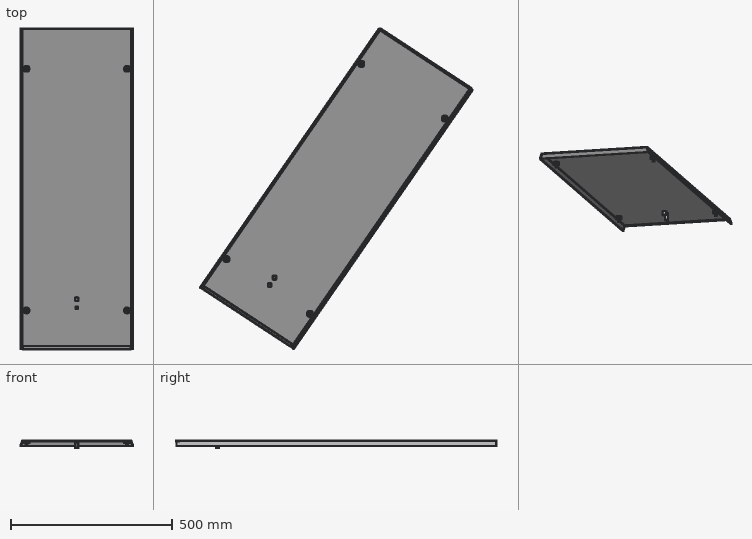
import cadquery as cq
import math

total_width = 349.88
total_length = 996.05
total_height = 22.5
sheet = 1.5
flange_height = 16.5
flange_angle = math.radians(20.0)

flange_slope = math.tan(flange_angle)
wall_width = sheet / math.cos(flange_angle)
bottom_half_width = total_width / 2
top_half_width = bottom_half_width - flange_height * flange_slope
rear_y = total_length / 2
nose_y = -rear_y

nose_radius = sheet
hem_length = 8.0
hem_half_width = top_half_width - sheet
front_y = nose_y + nose_radius

stud_neck_diameter = 8.0
stud_diameter = 10.0
stud_shoulder_z = -6.0
stud_y = front_y + 127.5
short_stud_diameter = 12.0
short_stud_end_z = -12.0
stud_spacing = 26.5
short_stud_y = stud_y + stud_spacing

screw_spacing_x = 312.0
screw_spacing_y = 750.0
front_screw_y = front_y + 119.0
dimple_opening = 15.0
dimple_wall = 1.25
dimple_depth = 6.0
head_diameter = 13.0
head_crown_diameter = 6.0
head_height = 2.5
socket_size = 4.0
socket_depth = 2.0
shank_diameter = 6.0
shank_end_z = -16.0

screw_positions = [
    (side * screw_spacing_x / 2, front_screw_y + row * screw_spacing_y)
    for side in (-1, 1)
    for row in (0, 1)
]


def half_width_at(z):
    """Half width of the panel's outside at height z, on the sloped side flanges."""
    return top_half_width - z * flange_slope


def trapezoid_prism(inset, top_z, bottom_z, y_start, y_end):
    """Prism along Y, its sides parallel to the side flanges and moved in by inset along X."""
    top_half = half_width_at(top_z) - inset
    bottom_half = half_width_at(bottom_z) - inset
    return (
        cq.Workplane("XZ", origin=(0, y_end, 0))
        .moveTo(-top_half, top_z)
        .lineTo(top_half, top_z)
        .lineTo(bottom_half, bottom_z)
        .lineTo(-bottom_half, bottom_z)
        .close()
        .extrude(y_end - y_start)
    )


def cylinder(diameter, top_z, bottom_z, x, y):
    return cq.Workplane("XY", origin=(x, y, bottom_z)).circle(diameter / 2).extrude(top_z - bottom_z)


def make_tray():
    """Top sheet with sloped side flanges and an upright rear flange, open at the front."""
    outside = trapezoid_prism(0, 0, -flange_height, front_y, rear_y)
    inside = trapezoid_prism(wall_width, -sheet, -flange_height, front_y, rear_y - sheet)
    return outside.cut(inside)


def make_hem():
    """Nose and folded-back strip along the front edge, two sheets thick."""
    hem_rear_y = front_y + hem_length
    return (
        cq.Workplane("YZ", origin=(-hem_half_width, 0, 0))
        .moveTo(front_y, 0)
        .threePointArc((nose_y, -nose_radius), (front_y, -2 * nose_radius))
        .lineTo(hem_rear_y, -2 * sheet)
        .lineTo(hem_rear_y, -sheet)
        .lineTo(front_y, -sheet)
        .close()
        .extrude(2 * hem_half_width)
    )


def make_studs():
    """Long shouldered stud and a short plain stud behind it."""
    neck = cylinder(stud_neck_diameter, -sheet, stud_shoulder_z, 0, stud_y)
    long_stud = neck.union(cylinder(stud_diameter, stud_shoulder_z, -total_height, 0, stud_y))
    short_stud = cylinder(short_stud_diameter, -sheet, short_stud_end_z, 0, short_stud_y)
    return long_stud.add(short_stud)


def add_dimple(body, x, y):
    """Press a round cup into the sheet, with a hole for the screw shank in its floor."""
    cup_diameter = dimple_opening + 2 * dimple_wall
    floor_z = -dimple_depth - sheet
    body = body.union(cylinder(cup_diameter, -sheet, floor_z, x, y))
    body = body.cut(cylinder(dimple_opening, 0, -dimple_depth, x, y))
    return body.cut(cylinder(shank_diameter, -dimple_depth, floor_z, x, y))


def make_panel():
    body = make_tray().union(make_hem())
    for stud in make_studs().vals():
        body = body.union(cq.Workplane(stud))
    for x, y in screw_positions:
        body = add_dimple(body, x, y)
    return body


def make_screw(x, y):
    """Screw with a conical head standing on the dimple floor and a hexagon socket."""
    head = (
        cq.Workplane("XY", origin=(x, y, -dimple_depth))
        .circle(head_diameter / 2)
        .workplane(offset=head_height)
        .circle(head_crown_diameter / 2)
        .loft()
    )
    socket = (
        cq.Workplane("XY", origin=(x, y, head_height - dimple_depth))
        .polygon(6, socket_size, circumscribed=True)
        .extrude(-socket_depth)
    )
    shank = cylinder(shank_diameter, -dimple_depth, shank_end_z, x, y)
    return head.cut(socket).union(shank)


panel = make_panel()
screws = [make_screw(x, y) for x, y in screw_positions]

result = cq.Compound.makeCompound([panel.val(), *[screw.val() for screw in screws]])